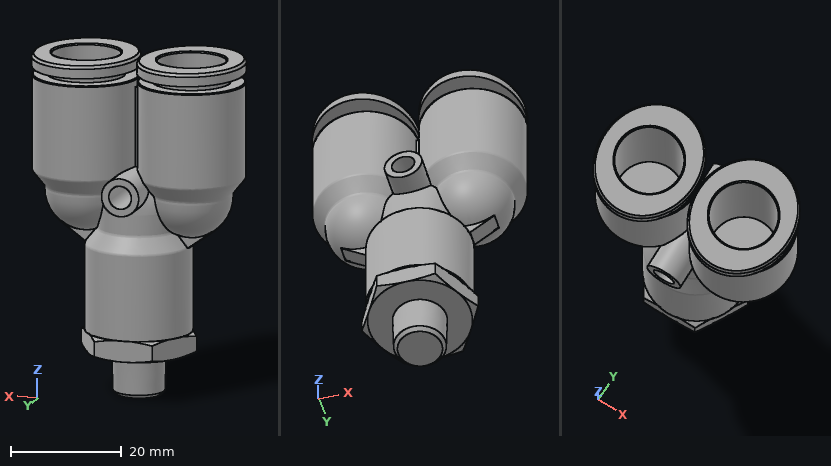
import cadquery as cq
import math


thread_base_radius = 5.0
thread_tip_radius = 4.8
thread_chamfer_radius = 4.1
thread_chamfer_height = 0.75
hex_bottom = 8.0
hex_top = 11.95
hex_across_flats = 19.0
hex_chamfer_drop = 0.55

body_radius = 19.7 / 2
neck_radius = 7.55
cone_height = 2.9
bend_radius = 0.7
stem_body_length = 16.1
stem_neck_length = 4.0

arm_offset = 10.0
arm_top = 58.9
arm_body_length = 17.85
arm_neck_length = 0.6
arm_rim_chamfer = 0.2
bore_radius = 6.3
bore_bottom = arm_top - arm_body_length
bore_chamfer = 0.25

ring_top = 62.9
ring_bottom = 60.6
ring_half_width = 19.55 / 2
ring_half_depth = 11.25
ring_chamfer_side = 0.4
ring_chamfer_height = 0.55
ring_neck_radius = 7.1

boss_height = 39.05
boss_radius = 3.5
boss_hole_radius = 2.15
boss_length = 22.7
web_thickness = 3.0
web_top = 57.35
web_half_width = 1.9

stem_shoulder = hex_top + stem_body_length
dome_center = arm_top - arm_body_length - cone_height - arm_neck_length


def cylinder(radius, bottom, top):
    return cq.Workplane("XY").workplane(offset=bottom).circle(radius).extrude(top - bottom)


def domed_body(body_length, neck_length):
    """Body on Z = 0 that tapers upward to a neck closed by a hemisphere."""
    cone_top = body_length + cone_height
    neck_top = cone_top + neck_length
    half_dome = neck_radius * math.sqrt(0.5)
    body = (
        cq.Workplane("XZ")
        .lineTo(body_radius, 0)
        .lineTo(body_radius, body_length)
        .lineTo(neck_radius, cone_top)
        .lineTo(neck_radius, neck_top)
        .threePointArc((half_dome, neck_top + half_dome), (0, neck_top + neck_radius))
        .close()
        .revolve(360, (0, 0, 0), (0, 1, 0))
    )
    reach = 0.05
    for height in (body_length, cone_top):
        low_corner = (-reach, -reach, height - reach)
        high_corner = (reach, reach, height + reach)
        body = body.edges(cq.selectors.BoxSelector(low_corner, high_corner)).fillet(bend_radius)
    return body


def thread():
    """Slightly tapered plug with a chamfered tip."""
    return (
        cq.Workplane("XZ")
        .lineTo(thread_chamfer_radius, 0)
        .lineTo(thread_tip_radius, thread_chamfer_height)
        .lineTo(thread_base_radius, hex_bottom)
        .lineTo(0, hex_bottom)
        .close()
        .revolve(360, (0, 0, 0), (0, 1, 0))
    )


def hexagon():
    """Hexagon with corners on the X axis, turned off at both faces."""
    corner_radius = hex_across_flats / math.sqrt(3)
    height = hex_top - hex_bottom
    prism = cq.Workplane("XY").polygon(6, 2 * corner_radius).extrude(height)
    turned_blank = (
        cylinder(corner_radius, 0, height)
        .faces("<Z or >Z")
        .chamfer(hex_chamfer_drop, corner_radius - hex_across_flats / 2)
    )
    return prism.intersect(turned_blank).translate((0, 0, hex_bottom))


def release_ring():
    """Oval flange with a bevelled top edge, carried on a round neck."""
    flange = (
        cq.Workplane("XY")
        .workplane(offset=ring_bottom)
        .ellipse(ring_half_width, ring_half_depth)
        .extrude(ring_top - ring_bottom)
        .faces(">Z")
        .edges()
        .chamfer(ring_chamfer_height, ring_chamfer_side)
    )
    return flange.union(cylinder(ring_neck_radius, arm_top, ring_bottom))


def arm():
    """Domed tube body hanging from its rim, with its release ring."""
    body = (
        domed_body(arm_body_length, arm_neck_length)
        .faces("<Z")
        .chamfer(arm_rim_chamfer)
        .rotate((0, 0, 0), (1, 0, 0), 180)
        .translate((0, 0, arm_top))
    )
    return body.union(release_ring())


def bore():
    """Blind tube bore with a chamfered mouth."""
    mouth_radius = bore_radius + bore_chamfer
    return (
        cq.Workplane("XZ")
        .moveTo(0, bore_bottom)
        .lineTo(bore_radius, bore_bottom)
        .lineTo(bore_radius, ring_top - bore_chamfer)
        .lineTo(mouth_radius, ring_top)
        .lineTo(0, ring_top)
        .close()
        .revolve(360, (0, 0, 0), (0, 1, 0))
    )


def webs():
    """Upright web between the arms, and gussets from the stem tangent to the domes."""
    rise = dome_center - stem_shoulder
    run = arm_offset - body_radius
    distance = math.hypot(run, rise)
    tangent_angle = math.atan2(-rise, -run) + math.acos(neck_radius / distance)
    tangent_x = arm_offset + neck_radius * math.cos(tangent_angle)
    tangent_z = dome_center + neck_radius * math.sin(tangent_angle)
    right_side = [
        (body_radius, stem_shoulder),
        (tangent_x, tangent_z),
        (arm_offset, dome_center),
        (web_half_width, dome_center),
        (web_half_width, web_top),
    ]
    left_side = [(-x, z) for x, z in reversed(right_side)]
    return (
        cq.Workplane("XZ")
        .polyline(right_side + left_side)
        .close()
        .extrude(web_thickness / 2, both=True)
    )


def boss(radius):
    """Cylinder along Y at the mounting boss axis."""
    return (
        cq.Workplane("XZ")
        .center(0, boss_height)
        .circle(radius)
        .extrude(boss_length / 2, both=True)
    )


stem = domed_body(stem_body_length, stem_neck_length).translate((0, 0, hex_top))
result = thread().union(hexagon()).union(stem).union(webs())
result = result.union(boss(boss_radius))
arm_positions = [(-arm_offset, 0, 0), (arm_offset, 0, 0)]
for position in arm_positions:
    result = result.union(arm().translate(position))
for position in arm_positions:
    result = result.cut(bore().translate(position))
result = result.cut(boss(boss_hole_radius))